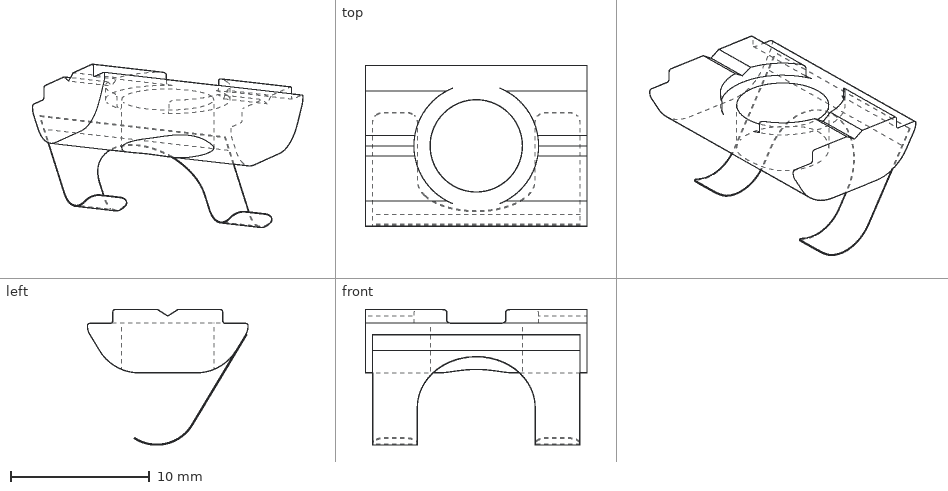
import cadquery as cq
import math

LENGTH = 16.0
HALF_WIDTH = 5.8
BLOCK_HEIGHT = 4.58
RAIL_HALF_WIDTH = 3.97
STEP_DEPTH = 1.0
SMALL_RADIUS = 0.2
FLANK_TOP_DEPTH = 1.8
FLANK_ANGLE = math.radians(59.0)
BELLY_RADIUS = 3.36
GROOVE_HALF_WIDTH = 0.74
GROOVE_DEPTH = 0.46

HOLE_DIAMETER = 6.64
RECESS_DIAMETER = 9.0

TOTAL_HEIGHT = 9.8
SHEET = 0.08
SPRING_WIDTH = 14.95
CURL_RADIUS = 3.0
CURL_TAIL_ANGLE = math.radians(33.0)
TIP_RADIUS = 0.8
ARCH_RADIUS = 4.24
ARCH_TOP_DEPTH = 3.38
CUTTER_REACH = 4 * SHEET

COS = math.cos(FLANK_ANGLE)
SIN = math.sin(FLANK_ANGLE)
EDGE_RADIUS = (FLANK_TOP_DEPTH - STEP_DEPTH - SMALL_RADIUS) / COS
FLANK_TOP_Y = HALF_WIDTH - EDGE_RADIUS * (1 - SIN)


def flank_y(depth):
    """Distance of the straight flank from the middle plane at a given depth."""
    return FLANK_TOP_Y - (depth - FLANK_TOP_DEPTH) * COS / SIN


def on_circle(center, radius, angle):
    return (center[0] + radius * math.cos(angle), center[1] + radius * math.sin(angle))


def extrude_along_x(profile, width):
    """Extrude a closed YZ profile evenly to both sides of X = 0."""
    return profile.close().extrude(width / 2, both=True)


def make_half_block():
    """+Y half of the constant section, with every edge round."""
    r = SMALL_RADIUS
    diagonal = math.radians(45)
    rail_round = (RAIL_HALF_WIDTH - r, -r)
    corner_round = (RAIL_HALF_WIDTH + r, r - STEP_DEPTH)
    ledge_round = (HALF_WIDTH - r, -STEP_DEPTH - r)
    edge_center = (HALF_WIDTH - EDGE_RADIUS, EDGE_RADIUS * COS - FLANK_TOP_DEPTH)
    edge_turn = math.pi / 2 - FLANK_ANGLE
    belly_top_depth = BLOCK_HEIGHT - BELLY_RADIUS * (1 - COS)
    belly_top = (flank_y(belly_top_depth), -belly_top_depth)
    belly_center = (belly_top[0] - BELLY_RADIUS * SIN, BELLY_RADIUS - BLOCK_HEIGHT)
    profile = (
        cq.Workplane("YZ")
        .moveTo(0, -GROOVE_DEPTH)
        .lineTo(GROOVE_HALF_WIDTH, 0)
        .lineTo(rail_round[0], 0)
        .threePointArc(on_circle(rail_round, r, diagonal), (RAIL_HALF_WIDTH, -r))
        .lineTo(RAIL_HALF_WIDTH, corner_round[1])
        .threePointArc(on_circle(corner_round, r, math.pi + diagonal), (corner_round[0], -STEP_DEPTH))
        .lineTo(ledge_round[0], -STEP_DEPTH)
        .threePointArc(on_circle(ledge_round, r, diagonal), (HALF_WIDTH, ledge_round[1]))
        .threePointArc(on_circle(edge_center, EDGE_RADIUS, -edge_turn / 2), (FLANK_TOP_Y, -FLANK_TOP_DEPTH))
        .lineTo(*belly_top)
        .threePointArc(
            on_circle(belly_center, BELLY_RADIUS, -edge_turn - FLANK_ANGLE / 2),
            (belly_center[0], -BLOCK_HEIGHT),
        )
        .lineTo(0, -BLOCK_HEIGHT)
    )
    return extrude_along_x(profile, LENGTH)


def make_block():
    half = make_half_block()
    block = half.union(half.mirror("XZ"))
    hole = cq.Workplane("XY").circle(HOLE_DIAMETER / 2).extrude(-BLOCK_HEIGHT)
    recess = cq.Workplane("XY").circle(RECESS_DIAMETER / 2).extrude(-STEP_DEPTH)
    return block.cut(hole).cut(recess)


def make_spring():
    """Bent strip: straight along the flank, then curled under, split by an arch into two legs."""
    inner_radius = CURL_RADIUS - SHEET
    curl_z = CURL_RADIUS - TOTAL_HEIGHT
    curl_start_depth = inner_radius * COS - curl_z
    curl_center = (inner_radius * SIN - flank_y(curl_start_depth), curl_z)
    start_angle = math.pi + (math.pi / 2 - FLANK_ANGLE)
    end_angle = 1.5 * math.pi + CURL_TAIL_ANGLE
    middle_angle = (start_angle + end_angle) / 2
    profile = (
        cq.Workplane("YZ")
        .moveTo(-FLANK_TOP_Y, -FLANK_TOP_DEPTH)
        .lineTo(*on_circle(curl_center, inner_radius, start_angle))
        .threePointArc(
            on_circle(curl_center, inner_radius, middle_angle),
            on_circle(curl_center, inner_radius, end_angle),
        )
        .lineTo(*on_circle(curl_center, CURL_RADIUS, end_angle))
        .threePointArc(
            on_circle(curl_center, CURL_RADIUS, middle_angle),
            on_circle(curl_center, CURL_RADIUS, start_angle),
        )
        .lineTo(-FLANK_TOP_Y - SHEET * SIN, -FLANK_TOP_DEPTH - SHEET * COS)
    )
    strip = extrude_along_x(profile, SPRING_WIDTH)
    return strip.cut(make_arch(curl_center)).cut(make_tip_corners(curl_center, end_angle))


def make_tip_corners(curl_center, end_angle):
    """Cutters that round both corners of each leg tip, square to the sheet at the tip."""
    tip = on_circle(curl_center, CURL_RADIUS, end_angle)
    tip_plane = cq.Plane(
        origin=(0, *tip),
        xDir=(1, 0, 0),
        normal=(0, -math.cos(end_angle), -math.sin(end_angle)),
    )
    arc_inset = TIP_RADIUS * (1 - math.sqrt(0.5))
    corners = cq.Workplane(tip_plane)
    for side in (-1, 1):
        for corner_x, inward in ((side * SPRING_WIDTH / 2, -side), (side * ARCH_RADIUS, side)):
            corners = (
                corners.moveTo(corner_x, 0)
                .lineTo(corner_x + inward * TIP_RADIUS, 0)
                .threePointArc((corner_x + inward * arc_inset, -arc_inset), (corner_x, -TIP_RADIUS))
                .close()
            )
    return corners.extrude(CUTTER_REACH, both=True)


def make_arch(curl_center):
    """Round-topped cutter, square to the straight part of the sheet and open at the curl end."""
    center_depth = ARCH_TOP_DEPTH + ARCH_RADIUS * SIN
    sheet_plane = cq.Plane(
        origin=(0, -flank_y(center_depth), -center_depth),
        xDir=(1, 0, 0),
        normal=(0, -SIN, -COS),
    )
    round_top = cq.Workplane(sheet_plane).circle(ARCH_RADIUS).extrude(CUTTER_REACH, both=True)
    leg_gap = (
        cq.Workplane("YZ")
        .moveTo(-flank_y(center_depth) - CUTTER_REACH * SIN, -center_depth - CUTTER_REACH * COS)
        .lineTo(-flank_y(center_depth) + CUTTER_REACH * SIN, -center_depth + CUTTER_REACH * COS)
        .lineTo(curl_center[0] + CURL_RADIUS, -center_depth + CUTTER_REACH * COS)
        .lineTo(curl_center[0] + CURL_RADIUS, -TOTAL_HEIGHT)
        .lineTo(-flank_y(center_depth), -TOTAL_HEIGHT)
    )
    return round_top.union(extrude_along_x(leg_gap, 2 * ARCH_RADIUS))


result = make_block().union(make_spring())